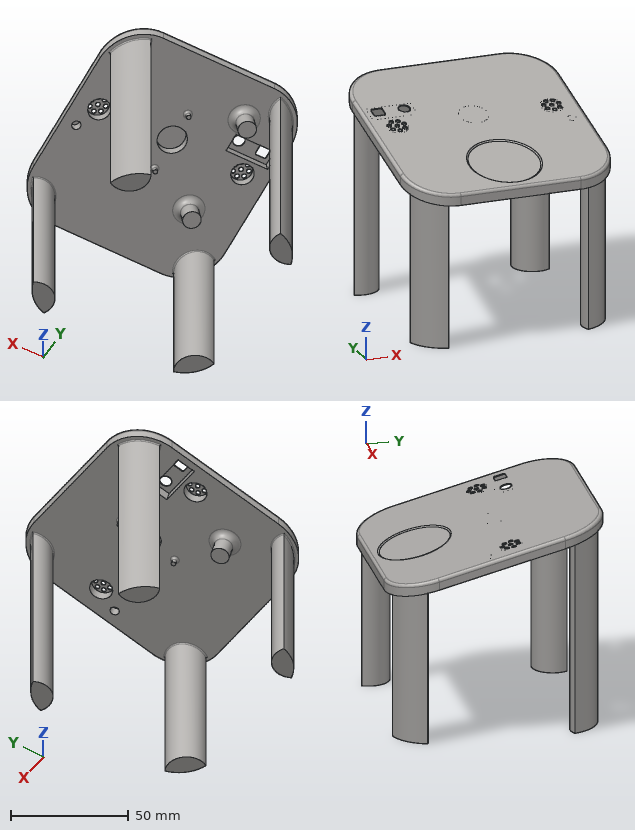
import cadquery as cq
import math

SIDE = 95.0
HEIGHT = 95.2
TILT_DEGREES = 15.0
CORNER_RADIUS = 20.0
PLATE_THICKNESS = 4.95
RIM_FILLET = 1.4

LEG_INSET = 2.1
LEG_ARC_DEGREES = 60.0
LEG_ROOT_FILLET = 0.5


THIN_SKIN = 0.5

OPENING_SIZE = 5.2
SQUARE_CORNER_RADIUS = 0.8
POCKET_X = -33.8
POCKET_SLOPE = 17.2
POCKET_LENGTH = 20.6
POCKET_WIDTH = 8.6
OPENING_SLOPE = 17.8
SQUARE_OPENING_X = -39.8
ROUND_OPENING_X = -27.8

BLIND_POCKETS = [(0, 7.3, 13.0), (40.6, -4.8, 4.0)]

GRILLE_X = 35.5
GRILLE_SLOPE = 6.2
GRILLE_HOLE_DIAMETER = 2.0
GRILLE_RING_RADIUS = 3.5
GRILLE_RING_HOLES = 7
GRILLE_POCKET_DIAMETER = 10.0

BADGE_SLOPE = -29.5
BADGE_FLOOR_DIAMETER = 31.2
BADGE_RIM_DIAMETER = 32.55
BADGE_DEPTH = 0.5

STANDOFF_X = -23.0
STANDOFF_SLOPES = [-18.6, 29.4]
STANDOFF_DIAMETER = 8.0
STANDOFF_LENGTH = 10.0
STANDOFF_FLARE = 2.95
PIN_X = 0
PIN_SLOPES = [-8.1, 20.8]
PIN_DIAMETER = 2.0
PIN_LENGTH = 2.95
PIN_FLARE = 0.95

tilt = math.radians(TILT_DEGREES)
half_side = SIDE / 2
crest_above_middle = (
    (half_side - RIM_FILLET) * math.tan(tilt) - RIM_FILLET / math.cos(tilt) + RIM_FILLET
)
top_middle = HEIGHT - crest_above_middle
up_normal = cq.Vector(0, -math.sin(tilt), math.cos(tilt))


def slope_plane(depth):
    """Tilted plane at a depth below the top face, measured square to it."""
    origin = cq.Vector(0, 0, top_middle) - up_normal * depth
    return cq.Workplane(cq.Plane(origin=origin, xDir=(1, 0, 0), normal=up_normal))


def rounded_plate():
    column = cq.Workplane("XY").rect(SIDE, SIDE).extrude(2 * HEIGHT).edges("|Z").fillet(CORNER_RADIUS)
    slab = slope_plane(PLATE_THICKNESS).rect(2 * SIDE, 2 * SIDE).extrude(PLATE_THICKNESS)
    plate = column.intersect(slab)
    top_face = plate.faces(cq.selectors.DirectionMinMaxSelector(up_normal, True))
    return top_face.edges().fillet(RIM_FILLET)


def lens_leg():
    """Lens column between an arc concentric with the plate corner and an arc about that arc's middle."""
    outer_radius = CORNER_RADIUS - LEG_INSET
    inner_radius = 2 * outer_radius * math.sin(math.radians(LEG_ARC_DEGREES / 4))
    corner = half_side - CORNER_RADIUS
    outer = cq.Workplane("XY").circle(outer_radius).extrude(HEIGHT)
    inner = cq.Workplane("XY").center(outer_radius, 0).circle(inner_radius).extrude(HEIGHT)
    return outer.intersect(inner).rotate((0, 0, 0), (0, 0, 1), 45).translate((corner, corner, 0))


def add_legs(plate):
    above = slope_plane(PLATE_THICKNESS / 2).rect(2 * SIDE, 2 * SIDE).extrude(HEIGHT)
    body = plate
    for quarter in range(4):
        leg = lens_leg().rotate((0, 0, 0), (0, 0, 1), 90 * quarter)
        body = body.union(leg.cut(above))
    tilted_faces = body.faces(cq.selectors.ParallelDirSelector(up_normal)).vals()
    underside = min(tilted_faces, key=lambda face: face.Center().z)
    roots = [edge for outline in underside.innerWires() for edge in outline.Edges()]
    return body.newObject(roots).fillet(LEG_ROOT_FILLET)


def flared_post(x, slope, diameter, length, flare):
    """Post hanging square to the underside, with a concave fillet of radius flare at its root."""
    radius = diameter / 2
    embed = PLATE_THICKNESS / 2
    profile = (
        cq.Workplane("XZ")
        .moveTo(0, embed)
        .lineTo(radius + flare, embed)
        .lineTo(radius + flare, 0)
        .radiusArc((radius, -flare), -flare)
        .lineTo(radius, -length)
        .lineTo(0, -length)
        .close()
        .revolve(360, (0, 0, 0), (0, 1, 0))
    )
    spot = slope_plane(PLATE_THICKNESS).center(x, slope).plane
    return profile.val().moved(cq.Location(spot))


def cut_openings(body):
    pocket = (
        slope_plane(THIN_SKIN).center(POCKET_X, POCKET_SLOPE)
        .rect(POCKET_LENGTH, POCKET_WIDTH).extrude(-PLATE_THICKNESS)
    )
    square = (
        slope_plane(0).center(SQUARE_OPENING_X, OPENING_SLOPE)
        .sketch().rect(OPENING_SIZE, OPENING_SIZE).vertices().fillet(SQUARE_CORNER_RADIUS).finalize()
        .extrude(-PLATE_THICKNESS)
    )
    hole = (
        slope_plane(0).center(ROUND_OPENING_X, OPENING_SLOPE)
        .circle(OPENING_SIZE / 2).extrude(-PLATE_THICKNESS)
    )
    return body.cut(pocket).cut(square).cut(hole)


def cut_blind_pockets(body):
    for x, slope, diameter in BLIND_POCKETS:
        body = body.cut(slope_plane(THIN_SKIN).center(x, slope).circle(diameter / 2).extrude(-PLATE_THICKNESS))
    return body


def cut_grille(body, x):
    ring = [(0, 0)]
    for i in range(GRILLE_RING_HOLES):
        angle = 2 * math.pi * i / GRILLE_RING_HOLES - math.pi / 2
        ring.append((GRILLE_RING_RADIUS * math.cos(angle), GRILLE_RING_RADIUS * math.sin(angle)))
    holes = (
        slope_plane(0).center(x, GRILLE_SLOPE).pushPoints(ring)
        .circle(GRILLE_HOLE_DIAMETER / 2).extrude(-PLATE_THICKNESS)
    )
    pocket = (
        slope_plane(THIN_SKIN).center(x, GRILLE_SLOPE)
        .circle(GRILLE_POCKET_DIAMETER / 2).extrude(-PLATE_THICKNESS)
    )
    return body.cut(holes).cut(pocket)


def cut_badge(body):
    recess = (
        slope_plane(BADGE_DEPTH).center(0, BADGE_SLOPE).circle(BADGE_FLOOR_DIAMETER / 2)
        .workplane(offset=BADGE_DEPTH).circle(BADGE_RIM_DIAMETER / 2).loft()
    )
    return body.cut(recess)


body = add_legs(rounded_plate())
body = cut_openings(body)
body = cut_blind_pockets(body)
for grille_x in (-GRILLE_X, GRILLE_X):
    body = cut_grille(body, grille_x)
body = cut_badge(body)
for slope in STANDOFF_SLOPES:
    body = body.union(flared_post(STANDOFF_X, slope, STANDOFF_DIAMETER, STANDOFF_LENGTH, STANDOFF_FLARE))
for slope in PIN_SLOPES:
    body = body.union(flared_post(PIN_X, slope, PIN_DIAMETER, PIN_LENGTH, PIN_FLARE))
result = body